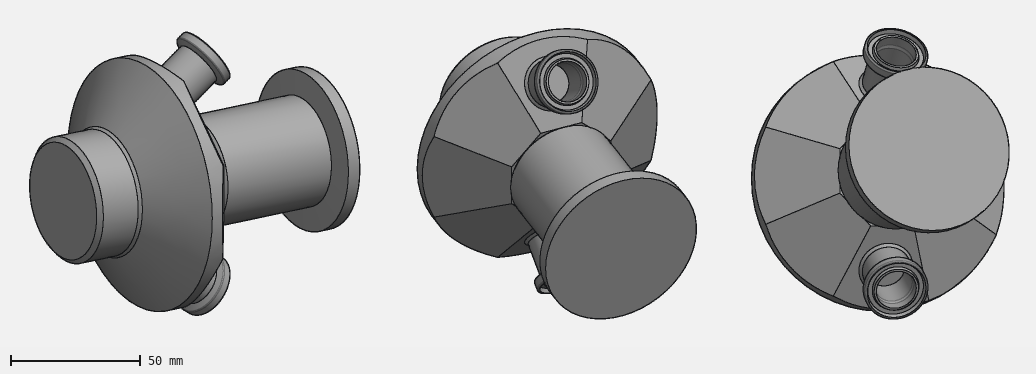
import cadquery as cq
import math

TOTAL_LENGTH = 116.7

SPIGOT_DIAMETER = 50.0
SPIGOT_CHAMFER = 1.9
SPIGOT_END = 18.1
NECK_WIDTH = 1.4
NECK_RISE = 0.8

BODY_DIAMETER = 99.5
CONE_END = 35.8
BODY_END = 60.8
FACET_COUNT = 8
FACET_ANGLE = 55.0
FACET_INRADIUS = 21.0

TUBE_DIAMETER = 44.0
TUBE_CHAMFER = 1.2
FLANGE_DIAMETER = 64.0
FLANGE_RIM = 5.4
FLANGE_TAPER = 1.2

PORT_TILT = 90.0 - FACET_ANGLE
PORT_LENGTH = 20.0
PORT_AXIS_RADIUS = 35.5
PORT_DIAMETER = 19.0
WELD_DIAMETER = 21.2
WELD_HEIGHT = 1.0
PORT_FLANGE_DIAMETER = 25.0
PORT_FLANGE_RIM = 3.7
PORT_FLANGE_TAPER = 1.0
PORT_RIM_ROUND = 0.5
PORT_EMBED = 1.2
BORE_DIAMETER = 15.8
BORE_STEP_DIAMETER = 15.0
BORE_STEP_DEPTH = 4.8
BORE_STEP_TAPER = 1.4
GROOVE_OUTER_DIAMETER = 23.1
GROOVE_FLOOR_DIAMETER = 21.9
GROOVE_INNER_FLOOR_DIAMETER = 18.4
LIP_DIAMETER = 17.5
LIP_RECESS = 0.5
GROOVE_DEPTH = 1.8


def turned(points):
    """Revolve a (radius, position) outline about the Y axis."""
    return cq.Workplane("XY").polyline(points).close().revolve(360, (0, 0), (0, 1))


def make_front():
    radius = SPIGOT_DIAMETER / 2
    rim_radius = BODY_DIAMETER / 2
    return turned([
        (0, 0),
        (radius - SPIGOT_CHAMFER, 0),
        (radius, SPIGOT_CHAMFER),
        (radius, SPIGOT_END),
        (radius + NECK_RISE, SPIGOT_END + NECK_WIDTH),
        (rim_radius, CONE_END),
        (0, CONE_END),
    ])


def make_faceted_body():
    slope = math.tan(math.radians(FACET_ANGLE))
    length = BODY_END - CONE_END
    base_inradius = FACET_INRADIUS + length * slope

    def octagon_at(position, inradius):
        corner_radius = inradius / math.cos(math.pi / FACET_COUNT)
        points = []
        for index in range(FACET_COUNT):
            angle = (index + 0.5) * 2 * math.pi / FACET_COUNT
            x = corner_radius * math.cos(angle)
            z = corner_radius * math.sin(angle)
            points.append(cq.Vector(x, position, z))
        return cq.Wire.makePolygon(points, close=True)

    pyramid = cq.Solid.makeLoft(
        [octagon_at(CONE_END, base_inradius), octagon_at(BODY_END, FACET_INRADIUS)], True
    )
    rim_radius = BODY_DIAMETER / 2
    rim = turned([(0, CONE_END), (rim_radius, CONE_END), (rim_radius, BODY_END), (0, BODY_END)])
    return rim.intersect(cq.Workplane(pyramid))


def make_rear_tube():
    radius = TUBE_DIAMETER / 2
    flange_radius = FLANGE_DIAMETER / 2
    rim_start = TOTAL_LENGTH - FLANGE_RIM
    return turned([
        (0, BODY_END),
        (radius - TUBE_CHAMFER, BODY_END),
        (radius, BODY_END + TUBE_CHAMFER),
        (radius, rim_start - FLANGE_TAPER),
        (flange_radius, rim_start),
        (flange_radius, TOTAL_LENGTH),
        (0, TOTAL_LENGTH),
    ])


def place_port(shape, side):
    """Move a shape built along +Y onto the upper (+1) or lower (-1) flat face."""
    slope = math.tan(math.radians(FACET_ANGLE))
    foot_position = BODY_END - (PORT_AXIS_RADIUS - FACET_INRADIUS) / slope
    tilted = shape.rotate((0, 0, 0), (1, 0, 0), side * PORT_TILT)
    return tilted.translate((0, foot_position, side * PORT_AXIS_RADIUS))


def make_port():
    radius = PORT_DIAMETER / 2
    weld_radius = WELD_DIAMETER / 2
    flange_radius = PORT_FLANGE_DIAMETER / 2
    rim_start = PORT_LENGTH - PORT_FLANGE_RIM
    port = turned([
        (0, -PORT_EMBED),
        (weld_radius, -PORT_EMBED),
        (weld_radius, 0),
        (radius, WELD_HEIGHT),
        (radius, rim_start - PORT_FLANGE_TAPER),
        (flange_radius, rim_start),
        (flange_radius, PORT_LENGTH),
        (0, PORT_LENGTH),
    ])
    rim_edges = port.edges(cq.selectors.RadiusNthSelector(-1))
    return rim_edges.fillet(PORT_RIM_ROUND)


def make_port_bore():
    radius = BORE_DIAMETER / 2
    step_radius = BORE_STEP_DIAMETER / 2
    step_position = PORT_LENGTH - BORE_STEP_DEPTH
    return turned([
        (0, 0),
        (step_radius, 0),
        (step_radius, step_position - BORE_STEP_TAPER),
        (radius, step_position),
        (radius, PORT_LENGTH),
        (0, PORT_LENGTH),
    ])


def make_port_groove():
    floor = PORT_LENGTH - GROOVE_DEPTH
    lip_top = PORT_LENGTH - LIP_RECESS
    return turned([
        (0, lip_top),
        (LIP_DIAMETER / 2, lip_top),
        (GROOVE_INNER_FLOOR_DIAMETER / 2, floor),
        (GROOVE_FLOOR_DIAMETER / 2, floor),
        (GROOVE_OUTER_DIAMETER / 2, PORT_LENGTH),
        (0, PORT_LENGTH),
    ])


result = make_front().union(make_faceted_body()).union(make_rear_tube())
for side in (1, -1):
    result = result.union(place_port(make_port(), side))
    result = result.cut(place_port(make_port_bore(), side))
    result = result.cut(place_port(make_port_groove(), side))